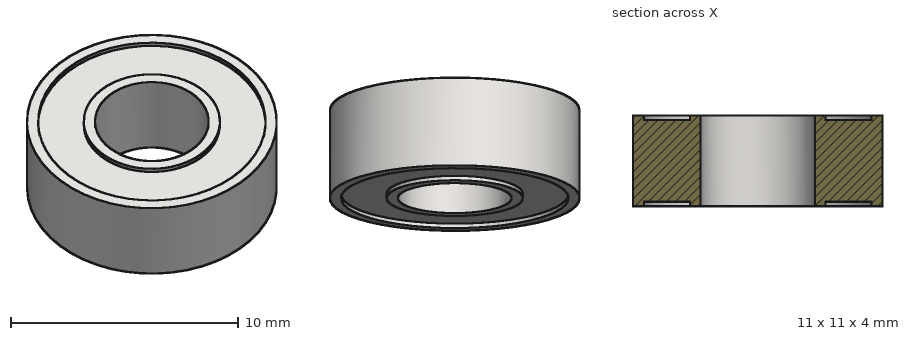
import cadquery as cq

outer_diameter = 11.0
bore_diameter = 5.0
width = 4.0

ring_wall = 0.5
shield_recess = 0.2

inner_ring_diameter = bore_diameter + 2 * ring_wall
outer_ring_inside_diameter = outer_diameter - 2 * ring_wall


def tube(outside_diameter, inside_diameter, height):
    """Return a tube along Z, centred on the origin."""
    base = cq.Workplane("XY").workplane(offset=-height / 2)
    return base.circle(outside_diameter / 2).circle(inside_diameter / 2).extrude(height)


def shield_recesses():
    """Return the two annular recesses, one at each end face."""
    gap = tube(outer_ring_inside_diameter, inner_ring_diameter, width)
    shield = tube(outer_ring_inside_diameter, inner_ring_diameter, width - 2 * shield_recess)
    return gap.cut(shield)


body = tube(outer_diameter, bore_diameter, width)
result = body.cut(shield_recesses())